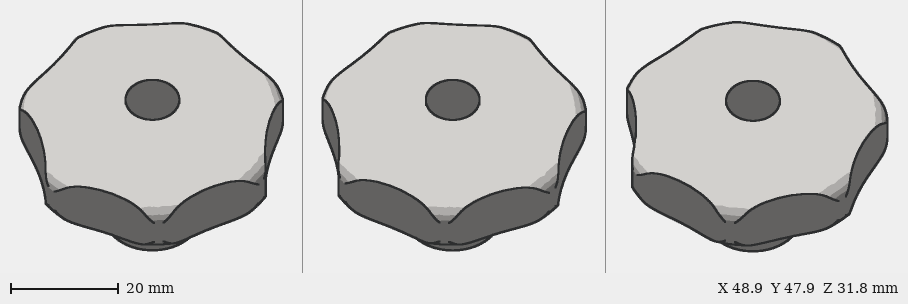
import cadquery as cq
import math

lobe_count = 7
head_radius = 25.0
corner_radius = 4.0
bore_radius = 5.0
total_height = 31.8
hub_height = 17.0
dome_radius = 70.0
hub_foot_radius = 9.0
hub_head_radius = 9.9

valley_radius = 21.75
lobe_tip_radius = 4.0

corner_centre_radius = head_radius - corner_radius
lobe_pitch = 2 * math.pi / lobe_count


def polar(radius, angle):
    return (radius * math.cos(angle), radius * math.sin(angle))


def head_blank():
    """Round head whose upper corner rounding blends tangentially into the dome."""
    dome_centre_z = total_height - math.sqrt(dome_radius**2 - bore_radius**2)
    inner_radius = dome_radius - corner_radius
    dome_edge_angle = math.asin(corner_centre_radius / inner_radius)
    corner_centre_z = dome_centre_z + inner_radius * math.cos(dome_edge_angle)
    dome_edge = (
        dome_radius * math.sin(dome_edge_angle),
        dome_centre_z + dome_radius * math.cos(dome_edge_angle),
    )
    return (
        cq.Workplane("XZ")
        .moveTo(0, hub_height)
        .lineTo(corner_centre_radius, hub_height)
        .radiusArc((head_radius, hub_height + corner_radius), -corner_radius)
        .lineTo(head_radius, corner_centre_z)
        .radiusArc(dome_edge, -corner_radius)
        .radiusArc((bore_radius, total_height), -dome_radius)
        .lineTo(0, total_height)
        .close()
        .revolve(360, (0, 0, 0), (0, 1, 0))
    )


def star_prism():
    """Lobed outline: concave scallops joined by tangent rounded tips."""
    tip_centre_radius = head_radius - lobe_tip_radius
    tip_x, tip_y = polar(tip_centre_radius, lobe_pitch / 2)
    valley_gap = valley_radius - tip_x
    scallop_radius = (tip_y**2 + valley_gap**2 - lobe_tip_radius**2) / (2 * (lobe_tip_radius - valley_gap))
    scallop_centre_radius = valley_radius + scallop_radius
    offset_x = scallop_centre_radius - tip_x
    to_tip = math.hypot(offset_x, tip_y)
    join_x = scallop_centre_radius - scallop_radius * offset_x / to_tip
    join_y = scallop_radius * tip_y / to_tip
    join_radius = math.hypot(join_x, join_y)
    join_angle = math.atan2(join_y, join_x)

    first_valley = -math.pi / 2
    outline = cq.Workplane("XY").moveTo(*polar(join_radius, first_valley - join_angle))
    for index in range(lobe_count):
        valley = first_valley + index * lobe_pitch
        outline = outline.threePointArc(
            polar(valley_radius, valley), polar(join_radius, valley + join_angle)
        ).threePointArc(
            polar(head_radius, valley + lobe_pitch / 2),
            polar(join_radius, valley + lobe_pitch - join_angle),
        )
    return outline.close().extrude(total_height)


def hub():
    """Hub widening slightly from its foot to the head."""
    return (
        cq.Workplane("XZ")
        .polyline([(0, 0), (hub_foot_radius, 0), (hub_head_radius, hub_height), (0, hub_height)])
        .close()
        .revolve(360, (0, 0, 0), (0, 1, 0))
    )


bore = cq.Workplane("XY").circle(bore_radius).extrude(total_height)
result = head_blank().intersect(star_prism()).union(hub()).cut(bore)